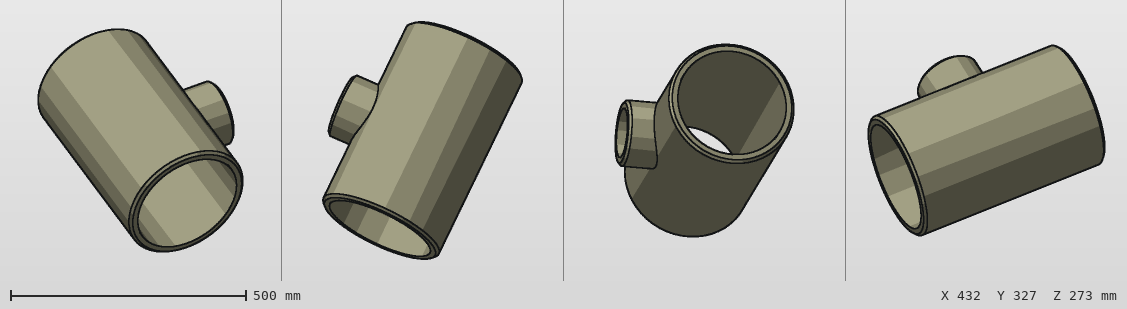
import cadquery as cq

run_length = 432.0
run_diameter = 273.0
run_bore = 236.5

branch_reach = 190.5
branch_diameter = 141.0
wall = (run_diameter - run_bore) / 2
branch_bore = branch_diameter - 2 * wall

bevel = 6.0


def run_cylinder(diameter):
    """Cylinder along X over the full length of the run."""
    return cq.Workplane("YZ").circle(diameter / 2).extrude(run_length / 2, both=True)


def branch_cylinder(diameter):
    """Cylinder from the run axis to the branch end face."""
    return cq.Workplane("XZ").circle(diameter / 2).extrude(-branch_reach)


run = run_cylinder(run_diameter).faces("<X or >X").chamfer(bevel)
branch = branch_cylinder(branch_diameter).faces(">Y").chamfer(bevel)

result = run.union(branch).cut(run_cylinder(run_bore)).cut(branch_cylinder(branch_bore))